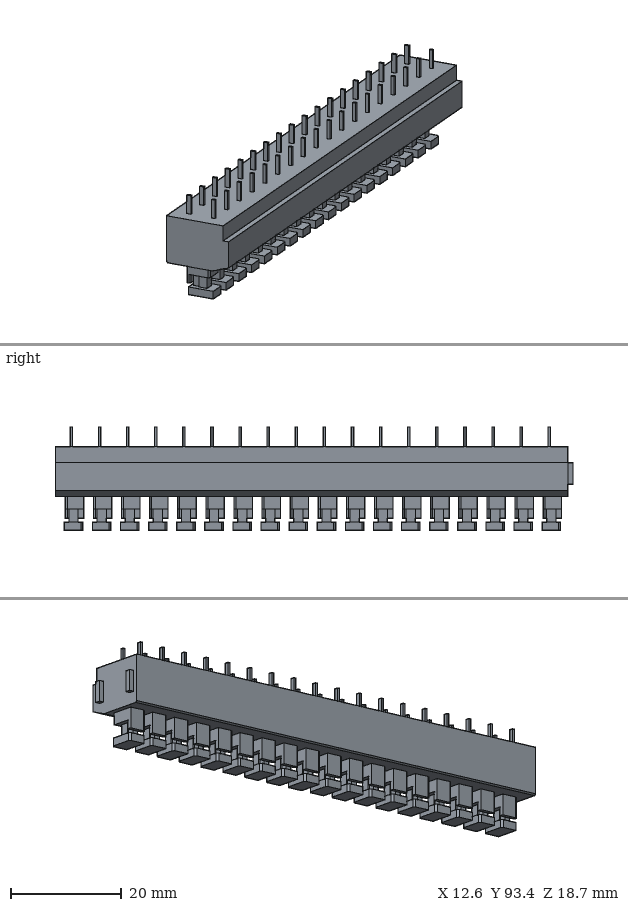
import cadquery as cq


total_length = 93.4
total_height = 18.7
housing_width = 12.6
housing_height = 9.1
peg_length = 0.9
housing_end = total_length - peg_length
ledge_width = 1.1
ledge_height = 6.2
slope_start = 9.3
slope_rise = 1.1
rear_bevel = 0.3

peg_width = 1.1
peg_height = 3.9
peg_base = 2.2
peg_positions = (1.4, 10.1)

pole_count = 18
row_span = 86.2
pole_pitch = row_span / (pole_count - 1)

first_pin_y = 2.9
pin_length = 3.55
pin_thickness = 0.5
rear_pin_x = 3.2
rear_pin_width = 0.8
front_pin_x = 8.1
front_pin_width = 0.7

first_lever_y = 3.3
lever_width = 3.4
collar_offset = 0.2
collar_start = 3.1
collar_length = 4.8
collar_drop = 2.2
rear_plate_length = 0.8
rear_plate_drop = 3.9
collar_bevel_x = 0.3
collar_bevel_y = 0.4
neck_start = 4.1
neck_end = 7.0
neck_step = 5.3
neck_wide = 1.7
neck_narrow = 1.1
foot_start = 3.6
foot_length = 5.0
foot_top = -4.6
foot_height = total_height - housing_height - pin_length + foot_top
foot_bevel = 0.4


def block(x_start, x_end, y_start, y_end, z_start, z_end):
    size = (x_end - x_start, y_end - y_start, z_end - z_start)
    return cq.Workplane("XY").box(*size, centered=False).translate((x_start, y_start, z_start))


def make_housing():
    profile = [
        (rear_bevel, 0),
        (slope_start, 0),
        (housing_width, slope_rise),
        (housing_width, ledge_height),
        (housing_width - ledge_width, ledge_height),
        (housing_width - ledge_width, housing_height),
        (0, housing_height),
        (0, rear_bevel),
    ]
    return cq.Workplane("XZ").polyline(profile).close().extrude(-housing_end)


def make_peg(x):
    half = peg_width / 2
    return block(x - half, x + half, housing_end, total_length, peg_base, peg_base + peg_height)


def make_pin(x, y, width):
    top = housing_height + pin_length
    half_width = width / 2
    half_thickness = pin_thickness / 2
    return block(x - half_width, x + half_width, y - half_thickness, y + half_thickness, housing_height, top)


def bevelled_block(x_start, x_end, y, depth):
    """A block hanging from the housing, bevelled at its two low-Y corners."""
    near = y - lever_width / 2
    far = y + lever_width / 2
    outline = [
        (x_start + collar_bevel_x, near),
        (x_end - collar_bevel_x, near),
        (x_end, near + collar_bevel_y),
        (x_end, far),
        (x_start, far),
        (x_start, near + collar_bevel_y),
    ]
    return cq.Workplane("XY").polyline(outline).close().extrude(-depth)


def make_lever(y):
    collar_y = y + collar_offset
    collar = bevelled_block(collar_start, collar_start + collar_length, collar_y, collar_drop)
    plate = bevelled_block(collar_start, collar_start + rear_plate_length, collar_y, rear_plate_drop)
    half_wide = neck_wide / 2
    half_narrow = neck_narrow / 2
    rear_neck = block(neck_start, neck_step, y - half_narrow, y + half_narrow, foot_top, 0)
    front_neck = block(neck_step, neck_end, y - half_wide, y + half_wide, foot_top, 0)
    half_foot = lever_width / 2
    foot_end = foot_start + foot_length
    foot = block(foot_start, foot_end, y - half_foot, y + half_foot, foot_top - foot_height, foot_top)
    foot = foot.edges("|Z and >Y").chamfer(foot_bevel)
    return collar.union(plate).union(rear_neck).union(front_neck).union(foot)


result = make_housing()
for peg_x in peg_positions:
    result = result.union(make_peg(peg_x))
for pole in range(pole_count):
    offset = pole * pole_pitch
    result = result.union(make_pin(rear_pin_x, first_pin_y + offset, rear_pin_width))
    result = result.union(make_pin(front_pin_x, first_pin_y + offset, front_pin_width))
    result = result.union(make_lever(first_lever_y + offset))